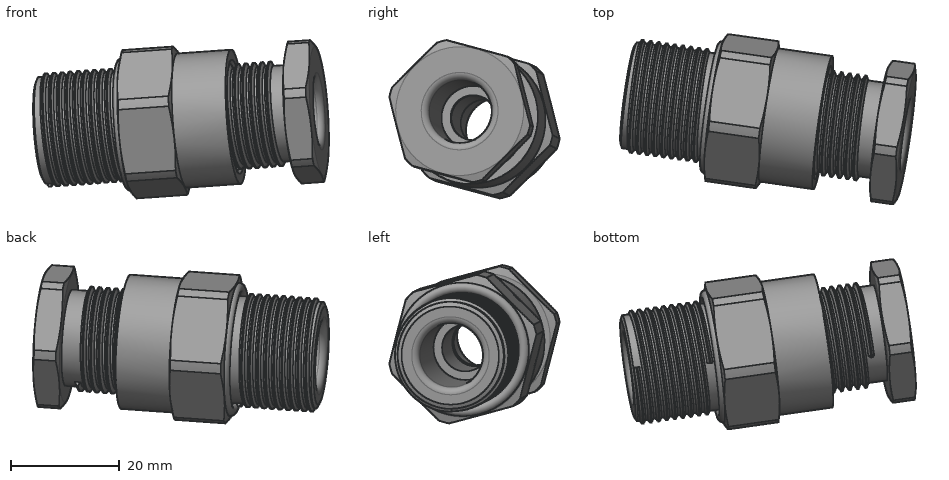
import cadquery as cq
import math

HEX_START = 16.2
HEX_LENGTH = 10.2
COLLAR_LENGTH = 10.0
SEAL_START = 19.65
SEAL_LENGTH = 13.5
WASHER_THICKNESS = 1.0
SCREW_HEX_LENGTH = 4.85
TOTAL_LENGTH = 51.9

COLLAR_START = HEX_START + HEX_LENGTH
COLLAR_END = COLLAR_START + COLLAR_LENGTH
WASHER_START = SEAL_START + SEAL_LENGTH
SCREW_START = WASHER_START + WASHER_THICKNESS
SCREW_HEX_START = TOTAL_LENGTH - SCREW_HEX_LENGTH

HOUSING_HEX_FLATS = 25.1
HOUSING_HEX_CORNERS = 27.95
SCREW_HEX_FLATS = 24.0
SCREW_HEX_CORNERS = 26.75
HEX_CHAMFER_INSET = 0.1
HEX_CHAMFER_ANGLE = 15.0

SPIGOT_DIAMETER = 19.75
SPIGOT_FACE_DIAMETER = 18.1
SPIGOT_CHAMFER_LENGTH = 0.4
SPIGOT_BORE = 11.8
COLLAR_DIAMETER = 24.8
SOCKET_DIAMETER = 19.95
SOCKET_CHAMFER = 0.55

SCREW_DIAMETER = 17.8
SCREW_BORE = 11.7
BORE_LIP_RADIUS = 1.3

SEAL_BORE = 8.6
WASHER_BORE = 8.3
ORING_SECTION = 1.85
ORING_OUTER_DIAMETER = 24.65

PITCH = 1.5
THREAD_BASE_WIDTH = 1.2
THREAD_CREST_WIDTH = 0.2
THREAD_EMBED = 0.1
SPIGOT_THREAD_HEIGHT = 0.6
SPIGOT_THREAD_START = 1.0
SPIGOT_THREAD_END = 14.5
SCREW_THREAD_HEIGHT = 0.8
SCREW_THREAD_START = 35.2
SCREW_THREAD_END = 44.3

HEX_ROLL = 15.0
AXIS_RISE = 4.0
AXIS_SWING = -8.05


def cylinder(diameter, start, end):
    return cq.Workplane("XY").workplane(offset=start).circle(diameter / 2).extrude(end - start)


def ring(outer_diameter, inner_diameter, start, end):
    return cylinder(outer_diameter, start, end).cut(cylinder(inner_diameter, start, end))


def hexagon(flats, corners, start, length):
    """Hexagon with its corners turned round and both end faces chamfered."""
    corner_distance = flats / math.cos(math.radians(30))
    prism = (
        cq.Workplane("XY").workplane(offset=start)
        .polygon(6, corner_distance).extrude(length)
        .rotate((0, 0, 0), (0, 0, 1), HEX_ROLL)
    )
    radial = (corners - flats) / 2 + HEX_CHAMFER_INSET
    axial = radial * math.tan(math.radians(HEX_CHAMFER_ANGLE))
    turned = cylinder(corners, start, start + length)
    for end_face in ("<Z", ">Z"):
        turned = turned.faces(end_face).chamfer(axial, radial)
    return prism.intersect(turned)


def thread(core_diameter, height, start, end):
    """Right-handed helical ridge whose root sinks slightly into its core."""
    root = core_diameter / 2 - THREAD_EMBED
    crest = core_diameter / 2 + height
    path = cq.Wire.makeHelix(PITCH, end - start, root).translate(cq.Vector(0, 0, start))
    profile = cq.Workplane("XZ").polyline([
        (root, start - THREAD_BASE_WIDTH / 2),
        (crest, start - THREAD_CREST_WIDTH / 2),
        (crest, start + THREAD_CREST_WIDTH / 2),
        (root, start + THREAD_BASE_WIDTH / 2),
    ]).close()
    return profile.sweep(cq.Workplane(path), isFrenet=True)


def make_housing():
    chamfer_depth = (SPIGOT_DIAMETER - SPIGOT_FACE_DIAMETER) / 2
    spigot = cylinder(SPIGOT_DIAMETER, 0, HEX_START)
    spigot = spigot.faces("<Z").chamfer(SPIGOT_CHAMFER_LENGTH, chamfer_depth)
    outside = (
        spigot.union(hexagon(HOUSING_HEX_FLATS, HOUSING_HEX_CORNERS, HEX_START, HEX_LENGTH))
        .union(cylinder(COLLAR_DIAMETER, COLLAR_START, COLLAR_END))
    )
    grooved = outside.cut(make_oring())
    bored = grooved.cut(cylinder(SPIGOT_BORE, 0, COLLAR_END))
    bored = bored.cut(cylinder(SOCKET_DIAMETER, SEAL_START, COLLAR_END))
    innermost = cq.selectors.RadiusNthSelector(0)
    bored = bored.faces("<Z").edges(innermost).fillet(BORE_LIP_RADIUS)
    bored = bored.faces(">Z").edges(innermost).chamfer(SOCKET_CHAMFER)
    return bored.union(
        thread(SPIGOT_DIAMETER, SPIGOT_THREAD_HEIGHT, SPIGOT_THREAD_START, SPIGOT_THREAD_END)
    )


def make_oring():
    """O-ring around the spigot, half sunk into the front of the hexagon."""
    centre_radius = (ORING_OUTER_DIAMETER - ORING_SECTION) / 2
    return (
        cq.Workplane("XZ").center(centre_radius, HEX_START).circle(ORING_SECTION / 2)
        .revolve(360, (-centre_radius, 0, 0), (-centre_radius, 1, 0))
    )


def make_seal():
    return ring(SOCKET_DIAMETER, SEAL_BORE, SEAL_START, WASHER_START)


def make_washer():
    return ring(SOCKET_DIAMETER, WASHER_BORE, WASHER_START, SCREW_START)


def make_screw():
    shank = cylinder(SCREW_DIAMETER, SCREW_START, SCREW_HEX_START)
    head = hexagon(SCREW_HEX_FLATS, SCREW_HEX_CORNERS, SCREW_HEX_START, SCREW_HEX_LENGTH)
    screw = shank.union(head)
    screw = screw.cut(cylinder(SCREW_BORE, SCREW_START, TOTAL_LENGTH))
    screw = screw.faces(">Z").edges(cq.selectors.RadiusNthSelector(0)).fillet(BORE_LIP_RADIUS)
    return screw.union(
        thread(SCREW_DIAMETER, SCREW_THREAD_HEIGHT, SCREW_THREAD_START, SCREW_THREAD_END)
    )


def place(body):
    """Centre the assembly, lay its axis along +X, then raise and swing that axis."""
    return (
        body.translate((0, 0, -TOTAL_LENGTH / 2))
        .rotate((0, 0, 0), (0, 1, 0), 90 - AXIS_RISE)
        .rotate((0, 0, 0), (0, 0, 1), AXIS_SWING)
    )


housing = place(make_housing())
oring = place(make_oring())
seal = place(make_seal())
washer = place(make_washer())
screw = place(make_screw())

result = cq.Compound.makeCompound(
    [body.solids().val() for body in (housing, oring, seal, washer, screw)]
)